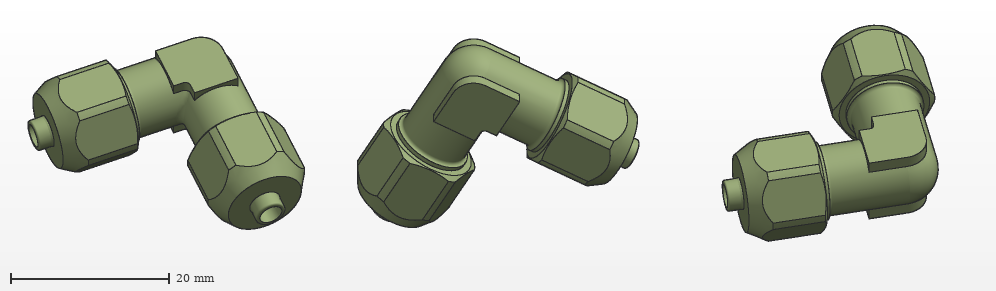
import cadquery as cq
import math

tube_radius = 4.5
collar_start = 10.0
collar_fillet = 0.47
collar_radius = 5.0

nut_start = 11.02
nut_end = 21.0
nut_across_flats = 12.0
nut_across_corners = 13.25
nut_corner_radius = nut_across_corners / 2
nut_inner_face_radius = 5.85
nut_outer_face_radius = 5.0
inner_chamfer_length = (nut_corner_radius - nut_inner_face_radius) * math.tan(math.radians(30))
outer_chamfer_length = (nut_corner_radius - nut_outer_face_radius) / math.tan(math.radians(30))

overall_length = 29.62
stub_end = overall_length - nut_corner_radius
stub_diameter = 4.0
stub_radius = stub_diameter / 2
stub_base_radius = 2.07
stub_base_length = 0.3
stub_tip_round = 0.25

bore_radius = 1.5
bore_bottom = 3.0
drill_point_angle = 118
drill_point_length = bore_radius / math.tan(math.radians(drill_point_angle / 2))

pad_half_height = 5.0
pad_near = 3.0
pad_far = 5.0
pad_notch_fillet = 0.7
crotch_fillet = 0.7


def make_tube():
    """Tube along +X, flared by a concave fillet into its collar."""
    fillet_mid_x = collar_start + collar_fillet * math.sin(math.pi / 4)
    fillet_mid_radius = tube_radius + collar_fillet * (1 - math.cos(math.pi / 4))
    fillet_end = (collar_start + collar_fillet, tube_radius + collar_fillet)
    profile = (
        cq.Workplane("XY")
        .lineTo(0, tube_radius)
        .lineTo(collar_start, tube_radius)
        .threePointArc((fillet_mid_x, fillet_mid_radius), fillet_end)
        .lineTo(fillet_end[0], collar_radius)
        .lineTo(nut_start, collar_radius)
        .lineTo(nut_start, 0)
        .close()
    )
    return profile.revolve(360, (0, 0, 0), (1, 0, 0))


def make_nut():
    """Hexagon along +X with corners toward +-Y, turned to a chamfered round envelope."""
    hexagon = (
        cq.Workplane("YZ", origin=(nut_start, 0, 0))
        .polygon(6, nut_across_flats / math.cos(math.radians(30)))
        .extrude(nut_end - nut_start)
    )
    envelope = (
        cq.Workplane("XY")
        .moveTo(nut_start, 0)
        .lineTo(nut_start, nut_inner_face_radius)
        .lineTo(nut_start + inner_chamfer_length, nut_corner_radius)
        .lineTo(nut_end - outer_chamfer_length, nut_corner_radius)
        .lineTo(nut_end, nut_outer_face_radius)
        .lineTo(nut_end, 0)
        .close()
        .revolve(360, (0, 0, 0), (1, 0, 0))
    )
    return hexagon.intersect(envelope)


def make_stub():
    """Pipe stub with a slightly tapered base and a rounded tip."""
    stub = (
        cq.Workplane("XY")
        .moveTo(nut_end, 0)
        .lineTo(nut_end, stub_base_radius)
        .lineTo(nut_end + stub_base_length, stub_radius)
        .lineTo(stub_end, stub_radius)
        .lineTo(stub_end, 0)
        .close()
        .revolve(360, (0, 0, 0), (1, 0, 0))
    )
    return stub.faces(">X").edges().fillet(stub_tip_round)


def make_bore():
    """Bore from the stub tip to its drill point."""
    return (
        cq.Workplane("XY")
        .moveTo(bore_bottom - drill_point_length, 0)
        .lineTo(bore_bottom, bore_radius)
        .lineTo(stub_end, bore_radius)
        .lineTo(stub_end, 0)
        .close()
        .revolve(360, (0, 0, 0), (1, 0, 0))
    )


def make_pads():
    """L-shaped block with a rounded outer corner and a filleted inner notch."""
    corner_mid = pad_near * math.sin(math.pi / 4)
    block = (
        cq.Workplane("XY", origin=(0, 0, -pad_half_height))
        .moveTo(-pad_near, 0)
        .threePointArc((-corner_mid, corner_mid), (0, pad_near))
        .lineTo(pad_far, pad_near)
        .lineTo(pad_far, -pad_near)
        .lineTo(pad_near, -pad_near)
        .lineTo(pad_near, -pad_far)
        .lineTo(-pad_near, -pad_far)
        .close()
        .extrude(2 * pad_half_height)
    )
    notch_edge = cq.selectors.NearestToPointSelector((pad_near, -pad_near, 0))
    return block.edges("|Z").edges(notch_edge).fillet(pad_notch_fillet)


def second_arm(shape):
    """Copy of a +X shape turned to run along -Y."""
    return shape.rotate((0, 0, 0), (0, 0, 1), -90)


def fillet_crotch(body):
    """Round the seam on the inside of the bend, between the pads."""
    crotch = cq.selectors.NearestToPointSelector((tube_radius, -tube_radius, 0))
    return body.edges(crotch).fillet(crotch_fillet)


tube = make_tube()
elbow = tube.union(second_arm(tube)).union(cq.Workplane("XY").sphere(tube_radius))
body = fillet_crotch(elbow.union(make_pads()))

arm_end = make_nut().union(make_stub())
bore = make_bore()
result = body.union(arm_end).union(second_arm(arm_end)).cut(bore).cut(second_arm(bore))